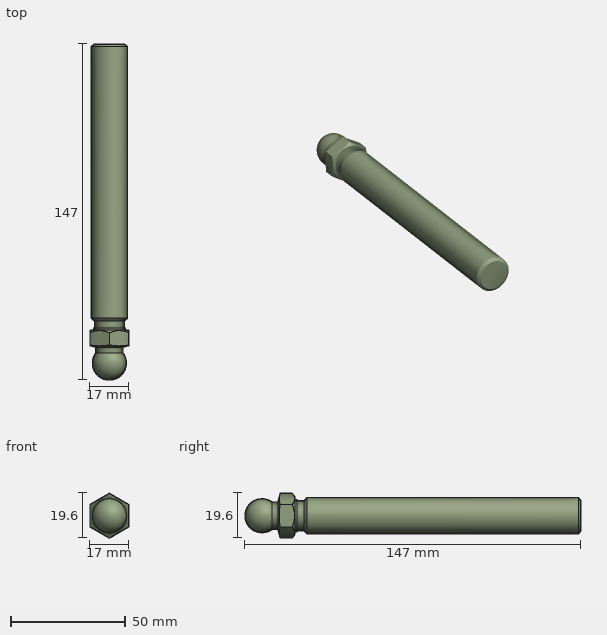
import cadquery as cq
import math

length = 147.0

ball_diameter = 15.0
neck_diameter = 12.0
collar_diameter = 14.1
groove_diameter = 13.2
shaft_diameter = 16.0

hex_across_flats = 17.0
hex_across_corners = hex_across_flats / math.cos(math.radians(30))
front_cone_start = 14.4
front_cone_length = 1.0
hex_back = 21.9
back_chamfer_diameter = 16.6
back_chamfer_length = 1.2

collar_back = 22.8
shaft_start = 25.9
shaft_end_chamfer = 1.3
tip_chamfer_length = 1.0
tip_chamfer_depth = 1.3

ball_radius = ball_diameter / 2
neck_radius = neck_diameter / 2
collar_radius = collar_diameter / 2
groove_radius = groove_diameter / 2
shaft_radius = shaft_diameter / 2


def revolve_about_y(profile):
    return profile.close().revolve(360, (0, 0, 0), (0, 1, 0))


def make_ball_and_neck():
    neck_start = ball_radius + math.sqrt(ball_radius**2 - neck_radius**2)
    profile = (
        cq.Workplane("XY")
        .moveTo(0, 0)
        .threePointArc((ball_radius, ball_radius), (neck_radius, neck_start))
        .lineTo(neck_radius, hex_back)
        .lineTo(0, hex_back)
    )
    return revolve_about_y(profile)


def make_hexagon():
    corner_radius = hex_across_corners / 2
    prism = (
        cq.Workplane("XZ", origin=(0, front_cone_start, 0))
        .polygon(6, hex_across_corners)
        .extrude(front_cone_start - hex_back)
        .rotate((0, 0, 0), (0, 1, 0), 30)
    )
    envelope = (
        cq.Workplane("XY")
        .moveTo(0, front_cone_start)
        .lineTo(neck_radius, front_cone_start)
        .lineTo(corner_radius, front_cone_start + front_cone_length)
        .lineTo(corner_radius, hex_back - back_chamfer_length)
        .lineTo(back_chamfer_diameter / 2, hex_back)
        .lineTo(0, hex_back)
    )
    return prism.intersect(revolve_about_y(envelope))


def make_shaft():
    profile = (
        cq.Workplane("XY")
        .moveTo(0, hex_back)
        .lineTo(collar_radius, hex_back)
        .lineTo(collar_radius, collar_back)
        .lineTo(groove_radius, collar_back)
        .lineTo(groove_radius, shaft_start)
        .lineTo(shaft_radius, shaft_start + shaft_end_chamfer)
        .lineTo(shaft_radius, length - tip_chamfer_length)
        .lineTo(shaft_radius - tip_chamfer_depth, length)
        .lineTo(0, length)
    )
    return revolve_about_y(profile)


result = make_ball_and_neck().union(make_hexagon()).union(make_shaft())